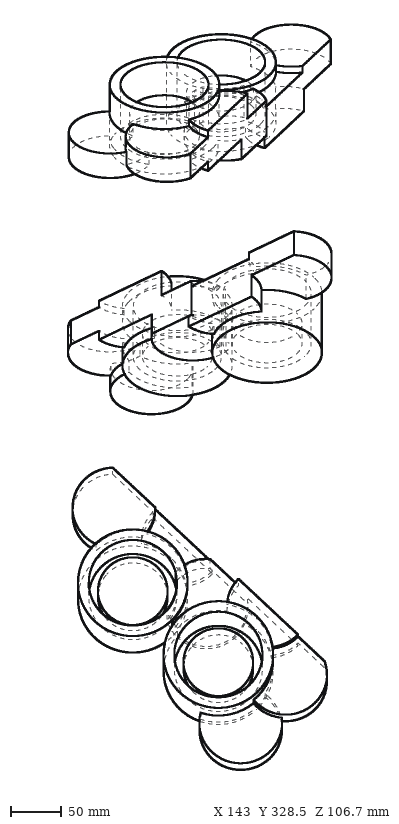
import cadquery as cq

CUP_RADIUS = 54.8
BOWL_RADIUS = 44.0
BOSS_RADIUS = 34.8
CUP_HEIGHT = 71.2
BASE_THICKNESS = CUP_RADIUS - BOWL_RADIUS
LOW_BOSS_DEPTH = 36.0
HIGH_BOSS_DEPTH = 32.8

CUP_SPACING = 118.5
CUP_RISE = 35.5

DISC_RADIUS = 41.5
DISC_THICKNESS = 28.5
FLAT_X = 72.0

SIDE_DISC_BOTTOM = 13.0
SIDE_DISC_THICKNESS = 46.5

REAR_DISC_X = 43.0
REAR_DISC_Y = 67.5
REAR_DISC_BOTTOM = 38.7

FRONT_DISC_Y = -178.0
FRONT_RIGHT_X = 35.0
FRONT_RIGHT_BOTTOM = 59.0
FRONT_LEFT_X = -29.5
FRONT_LEFT_BOTTOM = 45.3

LINK_X = 39.7
LINK_Y = -63.7
LINK_BOTTOM = 25.5
LINK_THICKNESS = 40.7


def cylinder(x, y, bottom, radius, height):
    return cq.Workplane("XY", origin=(x, y, bottom)).circle(radius).extrude(height)


def disc(x, y, bottom, thickness=DISC_THICKNESS):
    """Round disc with everything beyond the flat side removed."""
    trim = (
        cq.Workplane("XY", origin=(FLAT_X, y, bottom))
        .rect(2 * DISC_RADIUS, 2 * DISC_RADIUS)
        .extrude(thickness)
        .translate((DISC_RADIUS, 0, 0))
    )
    return cylinder(x, y, bottom, DISC_RADIUS, thickness).cut(trim)


def bowl(y, bottom, boss_depth):
    """Space inside a cup, around and above its boss."""
    floor = bottom + BASE_THICKNESS
    depth = CUP_HEIGHT - BASE_THICKNESS
    space = cylinder(0, y, floor, BOWL_RADIUS, depth)
    boss = cylinder(0, y, floor, BOSS_RADIUS, depth - boss_depth)
    return space.cut(boss)


def cup_body(y, bottom, boss_depth, discs):
    """Cup with its side disc and further discs, hollowed after joining."""
    body = cylinder(0, y, bottom, CUP_RADIUS, CUP_HEIGHT)
    body = body.union(disc(FLAT_X, y, bottom + SIDE_DISC_BOTTOM, SIDE_DISC_THICKNESS))
    for extra_disc in discs:
        body = body.union(extra_disc)
    return body.cut(bowl(y, bottom, boss_depth))


link = disc(LINK_X, LINK_Y, LINK_BOTTOM, LINK_THICKNESS)
link = link.cut(cylinder(0, 0, 0, BOWL_RADIUS, CUP_HEIGHT))

high_body = cup_body(
    -CUP_SPACING,
    CUP_RISE,
    HIGH_BOSS_DEPTH,
    [
        disc(FRONT_RIGHT_X, FRONT_DISC_Y, FRONT_RIGHT_BOTTOM),
        disc(FRONT_LEFT_X, FRONT_DISC_Y, FRONT_LEFT_BOTTOM),
        link,
    ],
)

rear_disc = disc(REAR_DISC_X, REAR_DISC_Y, REAR_DISC_BOTTOM)
low_body = cup_body(0, 0, LOW_BOSS_DEPTH, [rear_disc]).cut(link)

result = cq.Compound.makeCompound([low_body.val(), high_body.val()])